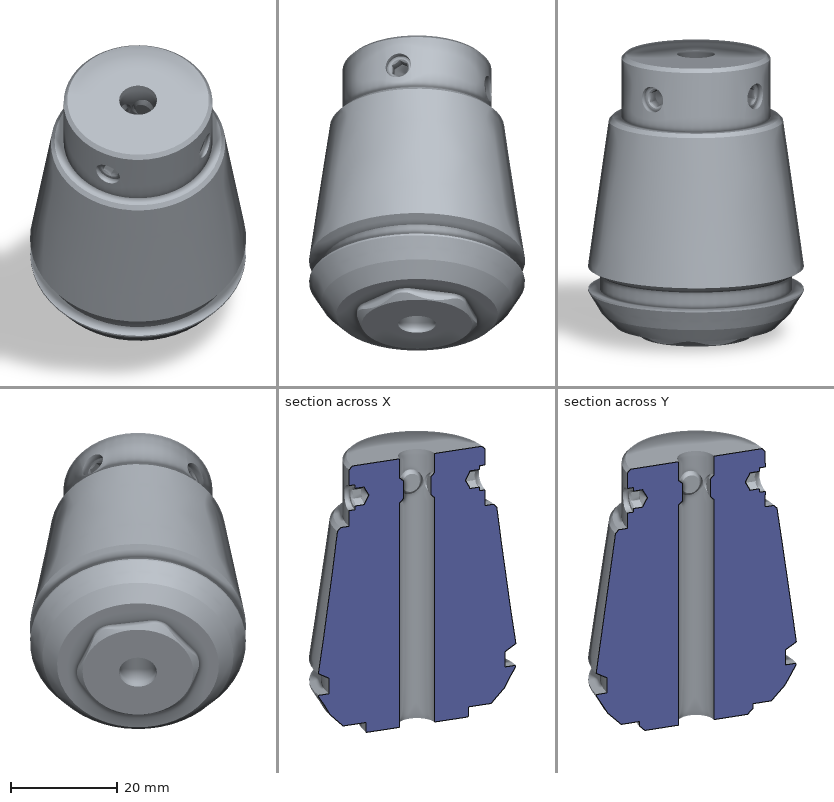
import cadquery as cq
import math

HEX_SIDES = 6

nut_height = 2.0
base_kink_z = 4.75
rim_bottom_z = 8.65
rim_top_z = 9.0
groove_top_z = 12.0
shoulder_z = 42.0
total_height = 54.0

base_bottom_radius = 15.2
base_kink_radius = 17.95
rim_radius = 40.55 / 2
groove_radius = 36.2 / 2
skirt_radius = 40.64 / 2
undercut_angle = 30.0
shoulder_radius = 16.4
collar_radius = 28.0 / 2
edge_chamfer = 0.7

nut_across_flats = 21.1
nut_corner_radius = 4.0
nut_face_radius = 10.4
nut_chamfer_angle = 45.0

bore_diameter = 7.1

screw_count = 4
screw_diameter = 4.92
screw_z = 47.6
screw_recess = 1.2
socket_across_flats = 3.0
socket_depth = 2.0
socket_mouth_diameter = 3.7
socket_mouth_angle = 90.0
socket_drill_angle = 120.0
screw_tip_offset = 2.77
screw_tip_diameter = 3.6


def hex_diameter(across_flats):
    """Corner-to-corner size of a hexagon."""
    return across_flats / math.cos(math.pi / HEX_SIDES)


def make_body():
    """Turned body: base, rim, groove, tapered skirt and collar."""
    skirt_rise = (skirt_radius - groove_radius) * math.tan(math.radians(undercut_angle))
    outline = [
        (0, nut_height),
        (base_bottom_radius, nut_height),
        (base_kink_radius, base_kink_z),
        (rim_radius, rim_bottom_z),
        (rim_radius, rim_top_z),
        (groove_radius, rim_top_z),
        (groove_radius, groove_top_z),
        (skirt_radius, groove_top_z + skirt_rise),
        (shoulder_radius, shoulder_z - edge_chamfer),
        (shoulder_radius - edge_chamfer, shoulder_z),
        (collar_radius, shoulder_z),
        (collar_radius, total_height - edge_chamfer),
        (collar_radius - edge_chamfer, total_height),
        (0, total_height),
    ]
    return cq.Workplane("XZ").polyline(outline).close().revolve(360, (0, 0), (0, 1))


def make_nut():
    """Hexagonal nut under the base, its corners cut back by a cone at the bottom face."""
    hexagon = (
        cq.Workplane("XY")
        .polygon(HEX_SIDES, hex_diameter(nut_across_flats))
        .extrude(base_kink_z)
        .edges("|Z")
        .fillet(nut_corner_radius)
    )
    cone_top_radius = nut_face_radius + base_kink_z * math.tan(math.radians(nut_chamfer_angle))
    chamfer_cone = cq.Workplane(cq.Solid.makeCone(nut_face_radius, cone_top_radius, base_kink_z))
    return hexagon.intersect(chamfer_cone)


def inward_cone(radius, point_angle, base_y):
    """Cone on the Y axis, its base at base_y and its point toward +Y."""
    height = radius / math.tan(math.radians(point_angle / 2))
    cone = cq.Solid.makeCone(radius, 0, height, pnt=cq.Vector(0, base_y, 0), dir=cq.Vector(0, 1, 0))
    return cq.Workplane(cone)


def make_set_screw():
    """Set screw on the -Y side, its point standing into the bore and its socket facing out."""
    screw_radius = screw_diameter / 2
    tip_radius = screw_tip_diameter / 2
    face_y = screw_recess - collar_radius
    outline = [
        (0, -screw_tip_offset),
        (tip_radius, -screw_tip_offset),
        (screw_radius, -screw_tip_offset - (screw_radius - tip_radius)),
        (screw_radius, face_y),
        (0, face_y),
    ]
    shank = cq.Workplane("XY").polyline(outline).close().revolve(360, (0, 0), (0, 1))

    hexagon = cq.Workplane("XZ", origin=(0, face_y, 0)).transformed(rotate=(0, 0, 90))
    socket = hexagon.polygon(HEX_SIDES, hex_diameter(socket_across_flats)).extrude(-socket_depth)

    mouth_radius = socket_mouth_diameter / 2
    mouth = inward_cone(mouth_radius, socket_mouth_angle, face_y)
    drill_radius = socket_across_flats / 2
    drill_point = inward_cone(drill_radius, socket_drill_angle, face_y + socket_depth)

    screw = shank.cut(socket).cut(mouth).cut(drill_point)
    return screw.translate((0, 0, screw_z))


def make_screw_hole():
    """Plain hole for the set screw, from the -Y side of the collar into the bore."""
    return cq.Workplane("XZ", origin=(0, 0, screw_z)).circle(screw_diameter / 2).extrude(collar_radius)


result = make_body().union(make_nut())
result = result.cut(cq.Workplane("XY").circle(bore_diameter / 2).extrude(total_height))

screw_hole = make_screw_hole()
set_screw = make_set_screw()
for index in range(screw_count):
    turn = index * 360 / screw_count
    result = result.cut(screw_hole.rotate((0, 0, 0), (0, 0, 1), turn))
    result = result.union(set_screw.rotate((0, 0, 0), (0, 0, 1), turn))